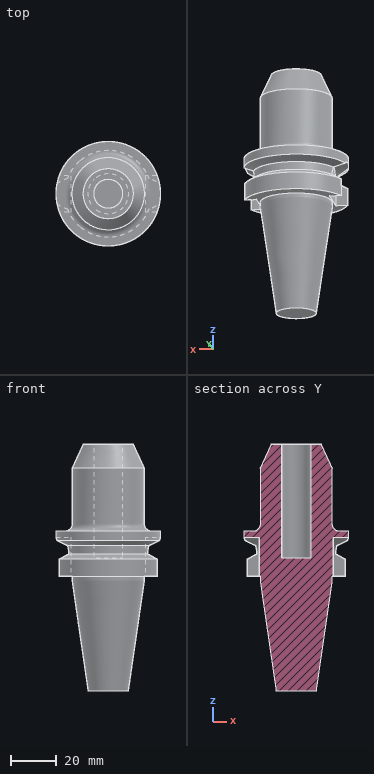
import cadquery as cq

total_height = 108.4
gauge_height = 48.5
flange_bottom = 50.4
flange_top = 70.4
groove_middle = 62.06
nose_cone_height = 10.5

body_diameter = 31.8
taper_end_diameter = 17.7
flange_diameter = 46.0
groove_diameter = 38.2
nose_diameter = 22.0
bore_diameter = 12.7

groove_floor_width = 3.6
groove_mouth_width = 8.1
neck_fillet = 3.0

slot_width = 16.2
slot_height = 17.0
slot_floor_distance = 16.3
bore_depth = 49.9

body_radius = body_diameter / 2
flange_radius = flange_diameter / 2
groove_radius = groove_diameter / 2


def turned_body():
    """Taper, grooved flange and conical nose, revolved about Z."""
    neck_edge = flange_top + neck_fillet
    return (
        cq.Workplane("XZ")
        .lineTo(taper_end_diameter / 2, 0)
        .lineTo(body_radius, gauge_height)
        .lineTo(body_radius, flange_bottom)
        .lineTo(flange_radius, flange_bottom)
        .lineTo(flange_radius, groove_middle - groove_mouth_width / 2)
        .lineTo(groove_radius, groove_middle - groove_floor_width / 2)
        .lineTo(groove_radius, groove_middle + groove_floor_width / 2)
        .lineTo(flange_radius, groove_middle + groove_mouth_width / 2)
        .lineTo(flange_radius, flange_top)
        .lineTo(body_radius + neck_fillet, flange_top)
        .radiusArc((body_radius, neck_edge), neck_fillet)
        .lineTo(body_radius, total_height - nose_cone_height)
        .lineTo(nose_diameter / 2, total_height)
        .lineTo(0, total_height)
        .close()
        .revolve(360, (0, 0), (0, 1))
    )


def drive_slot():
    """Round-topped cutter for the drive slot on the +X side."""
    half_width = slot_width / 2
    slot_top = flange_bottom + slot_height
    arc_center = slot_top - half_width
    return (
        cq.Workplane("YZ", origin=(slot_floor_distance, 0, 0))
        .moveTo(-half_width, flange_bottom)
        .lineTo(half_width, flange_bottom)
        .lineTo(half_width, arc_center)
        .threePointArc((0, slot_top), (-half_width, arc_center))
        .close()
        .extrude(flange_radius)
    )


def tool_bore():
    """Blind bore opening at the nose."""
    return (
        cq.Workplane("XY", origin=(0, 0, total_height))
        .circle(bore_diameter / 2)
        .extrude(-bore_depth)
    )


result = turned_body().cut(tool_bore())
for angle in (0, 180):
    result = result.cut(drive_slot().rotate((0, 0, 0), (0, 0, 1), angle))